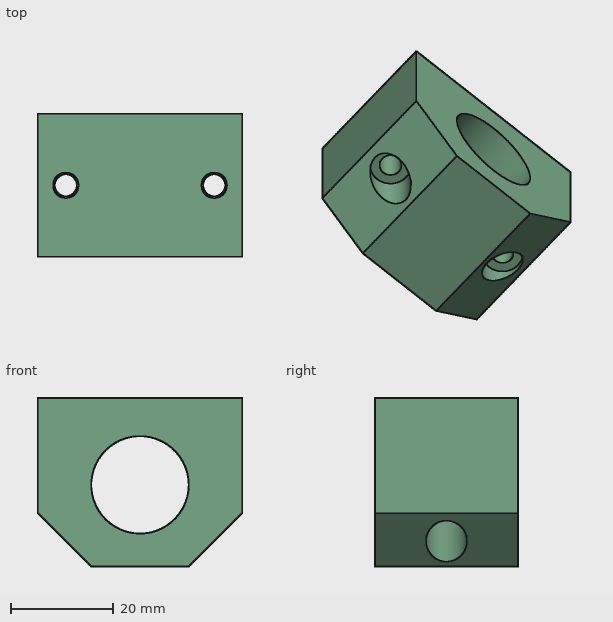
import cadquery as cq

width = 40.0
depth = 28.0
height = 33.0

bore_diameter = 19.0
bore_height = 16.0

foot_width = bore_diameter
corner_cut = (width - foot_width) / 2

hole_spacing = 29.0
upper_diameter = 5.0
upper_depth = 10.0
through_diameter = 4.3
head_diameter = 8.0
head_seat_height = 11.0


def make_block():
    """Block centred on X and Y, standing on Z = 0, with its lower side corners cut off."""
    block = cq.Workplane("XY").box(width, depth, height, centered=(True, True, False))
    return block.edges("|Y and <Z").chamfer(corner_cut)


def make_bore():
    """Cylinder through the full depth of the block."""
    start = cq.Workplane("XZ", origin=(0, depth / 2, bore_height))
    return start.circle(bore_diameter / 2).extrude(depth)


def make_vertical_cylinder(x, diameter, bottom, top):
    start = cq.Workplane("XY", origin=(x, 0, bottom))
    return start.circle(diameter / 2).extrude(top - bottom)


def make_mounting_hole(x):
    """Through hole, wider at the top, with a screw head recess open to the sloped corner."""
    through = make_vertical_cylinder(x, through_diameter, 0, height)
    upper = make_vertical_cylinder(x, upper_diameter, height - upper_depth, height)
    head_recess = make_vertical_cylinder(x, head_diameter, 0, head_seat_height)
    return through.union(upper).union(head_recess)


result = make_block().cut(make_bore())
for hole_x in (-hole_spacing / 2, hole_spacing / 2):
    result = result.cut(make_mounting_hole(hole_x))